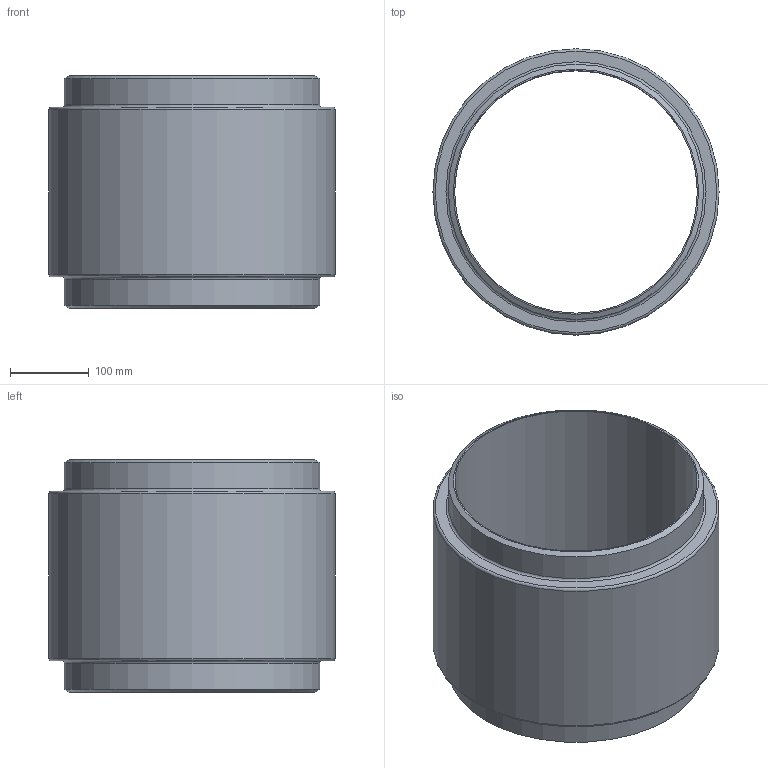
import cadquery as cq
import math

total_length = 295.0
body_length = 215.0
body_radius = 363.0 / 2
neck_radius = 323.9 / 2
wall_thickness = 8.0
bore_radius = neck_radius - wall_thickness

land_width = 1.6
bevel_angle = 30.0
body_edge_radius = 3.0
neck_root_radius = 3.0

bevel_width = wall_thickness - land_width
bevel_height = bevel_width * math.tan(math.radians(bevel_angle))


def make_wall_profile():
    """Half section of the wall, in radius and height, centred on the mid-plane."""
    end_z = total_length / 2
    bevel_z = end_z - bevel_height
    shoulder_z = body_length / 2
    root_z = shoulder_z + neck_root_radius
    root_radius = neck_radius + neck_root_radius
    edge_z = shoulder_z - body_edge_radius
    edge_radius = body_radius - body_edge_radius
    land_radius = bore_radius + land_width
    return (
        cq.Workplane("XZ")
        .moveTo(bore_radius, -end_z)
        .lineTo(land_radius, -end_z)
        .lineTo(neck_radius, -bevel_z)
        .lineTo(neck_radius, -root_z)
        .radiusArc((root_radius, -shoulder_z), neck_root_radius)
        .lineTo(edge_radius, -shoulder_z)
        .radiusArc((body_radius, -edge_z), -body_edge_radius)
        .lineTo(body_radius, edge_z)
        .radiusArc((edge_radius, shoulder_z), -body_edge_radius)
        .lineTo(root_radius, shoulder_z)
        .radiusArc((neck_radius, root_z), neck_root_radius)
        .lineTo(neck_radius, bevel_z)
        .lineTo(land_radius, end_z)
        .lineTo(bore_radius, end_z)
        .close()
    )


result = make_wall_profile().revolve(360, (0, 0), (0, 1))